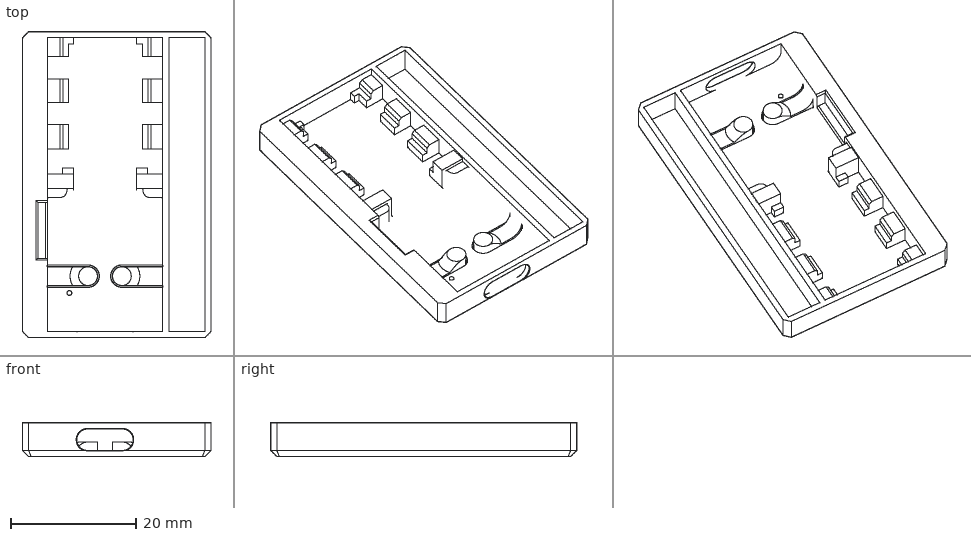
import cadquery as cq

LENGTH_X = 30.1
LENGTH_Y = 48.9
HEIGHT = 5.45
WALL = 1.0
FLOOR = 1.0
EDGE_CHAMFER = 1.0

LEFT_WALL = 3.95
MAIN_WIDTH = 18.45
MAIN_RIGHT = LEFT_WALL + MAIN_WIDTH
MAIN_CENTER = LEFT_WALL + MAIN_WIDTH / 2
POCKET_LENGTH = LENGTH_Y - 2 * WALL
SIDE_LEFT = MAIN_RIGHT + WALL
SIDE_WIDTH = LENGTH_X - WALL - SIDE_LEFT

SUPPORT_SPANS = [(44.95, LENGTH_Y - WALL), (37.55, 41.3), (30.1, 34.1)]
SUPPORT_TOP = 4.1
SUPPORT_DEPTH = 2.55
SUPPORT_CHAMFER = 0.5
SUPPORT_SHIFT = 0.1
SHELF_TOP = 2.55
SHELF_DEPTH = 3.4
TAB_DEPTH = 4.15
TAB_LENGTH = 1.0

POST_TOP = 5.05
POST_DEPTH = 4.15
POST_FRONT = 23.8
POST_BACK = 26.15
POST_LEDGE_WIDTH = 1.7
POST_LEDGE_LENGTH = 1.0
BUTTRESS_TOP = 4.4
BUTTRESS_DEPTH = 3.15
BUTTRESS_LENGTH = 1.4
BUTTRESS_RADIUS = 1.1
BAY_FILLET = 0.25

BUTTON_Y = 9.85
BUTTON_OFFSET = 2.7
BUTTON_RADIUS = 1.5
BUTTON_TOP = 2.35
BUTTON_BASE_RADIUS = 2.9
TONGUE_GAP = 0.25
COVE_RADIUS = 2.0
COVE_END = BUTTON_Y + BUTTON_RADIUS + TONGUE_GAP

PORT_WIDTH = 9.0
PORT_HEIGHT = 3.4
PORT_BOTTOM = FLOOR
PORT_FLARE = 0.1
NOTCH_LEFT = 2.15
NOTCH_FRONT = 12.35
NOTCH_BACK = 21.9
NOTCH_FLOOR = 2.45
NOTCH_CHAMFER = 0.3
PINHOLE_DIAMETER = 0.75
PINHOLE_POSITION = (7.5, 7.15)

SELECTION_SLACK = 0.05


def box(x0, x1, y0, y1, z0, z1):
    return cq.Workplane("XY").box(x1 - x0, y1 - y0, z1 - z0, centered=False).translate((x0, y0, z0))


def mirrored(shape, axis_x=MAIN_CENTER):
    """The shape together with its mirror image on the right side of the main compartment."""
    return shape.union(shape.mirror("YZ", (axis_x, 0, 0)))


def from_wall(depth_start, depth_end, y0, y1, top):
    """A block on the floor, measured inward from the left wall of the main compartment."""
    return box(LEFT_WALL + depth_start, LEFT_WALL + depth_end, y0, y1, FLOOR, top)


def edges_centred_in(x0, x1, y0, y1, z):
    """Selector for the edges whose middle lies inside a rectangle at height z."""
    slack = SELECTION_SLACK
    return cq.selectors.BoxSelector((x0 - slack, y0 - slack, z - slack), (x1 + slack, y1 + slack, z + slack))


def tray():
    body = box(0, LENGTH_X, 0, LENGTH_Y, 0, HEIGHT)
    body = body.edges("|Z").chamfer(EDGE_CHAMFER)
    body = body.faces("<Z").edges().chamfer(EDGE_CHAMFER)
    main = box(LEFT_WALL, MAIN_RIGHT, WALL, WALL + POCKET_LENGTH, FLOOR, HEIGHT)
    side = box(SIDE_LEFT, SIDE_LEFT + SIDE_WIDTH, WALL, WALL + POCKET_LENGTH, FLOOR, HEIGHT)
    return body.cut(main).cut(side)


def coves():
    """Concave quarter-round strips where the button end of the floor meets the long walls."""
    strip = from_wall(0, COVE_RADIUS, WALL, COVE_END, FLOOR + COVE_RADIUS)
    hollow = (
        cq.Workplane("XZ", origin=(LEFT_WALL + COVE_RADIUS, 0, FLOOR + COVE_RADIUS))
        .circle(COVE_RADIUS)
        .extrude(-LENGTH_Y)
    )
    return mirrored(strip.cut(hollow))


def support(y0, y1):
    block = from_wall(0, SUPPORT_DEPTH, y0, y1, SUPPORT_TOP)
    block = block.edges(">X and >Z").chamfer(SUPPORT_CHAMFER)
    return block.union(from_wall(0, SHELF_DEPTH, y0, y1, SHELF_TOP))


def supports():
    back = LENGTH_Y - WALL
    rows = support(*SUPPORT_SPANS[0])
    for y0, y1 in SUPPORT_SPANS[1:]:
        rows = rows.union(support(y0, y1))
    tab = from_wall(0, TAB_DEPTH, back - TAB_LENGTH, back, SHELF_TOP)
    return mirrored(rows, MAIN_CENTER + SUPPORT_SHIFT).union(mirrored(tab))


def posts():
    post = from_wall(0, POST_DEPTH, POST_FRONT, POST_BACK, POST_TOP)
    ledge = from_wall(
        POST_DEPTH - POST_LEDGE_WIDTH, POST_DEPTH, POST_BACK, POST_BACK + POST_LEDGE_LENGTH, SHELF_TOP
    )
    buttress = from_wall(0, BUTTRESS_DEPTH, POST_FRONT - BUTTRESS_LENGTH, POST_FRONT, BUTTRESS_TOP)
    buttress = buttress.edges("|Z and >X and <Y").fillet(BUTTRESS_RADIUS)
    return mirrored(post.union(ledge).union(buttress))


def round_bay(body):
    """Rounds the inner corners around the posts, along the floor and up the buttresses."""
    selector = edges_centred_in(LEFT_WALL, MAIN_RIGHT, BUTTON_Y, POST_FRONT, FLOOR)
    buttress_middle = (FLOOR + BUTTRESS_TOP) / 2
    buttress_front = POST_FRONT - BUTTRESS_LENGTH
    for depth, y in [(0, buttress_front), (BUTTRESS_DEPTH, POST_FRONT)]:
        for x in (LEFT_WALL + depth, MAIN_RIGHT - depth):
            selector = selector + cq.selectors.NearestToPointSelector((x, y, buttress_middle))
    return body.edges(selector).fillet(BAY_FILLET)


def tongue_outline(half_width, z0, z1):
    """A round-ended bar from the left wall to the left button."""
    button_x = MAIN_CENTER - BUTTON_OFFSET
    bar = box(LEFT_WALL, button_x, BUTTON_Y - half_width, BUTTON_Y + half_width, z0, z1)
    tip = cq.Workplane("XY", origin=(button_x, BUTTON_Y, z0)).circle(half_width).extrude(z1 - z0)
    return bar.union(tip)


def tongue_gaps():
    top = FLOOR + COVE_RADIUS
    return mirrored(
        tongue_outline(BUTTON_RADIUS + TONGUE_GAP, 0, top).cut(tongue_outline(BUTTON_RADIUS, 0, top))
    )


def buttons():
    """Round buttons, each flaring down onto its tongue."""
    flare = (
        cq.Workplane("XY", origin=(MAIN_CENTER - BUTTON_OFFSET, BUTTON_Y, FLOOR))
        .circle(BUTTON_BASE_RADIUS)
        .workplane(offset=BUTTON_TOP - FLOOR)
        .circle(BUTTON_RADIUS)
        .loft()
    )
    return mirrored(flare.intersect(tongue_outline(BUTTON_RADIUS, FLOOR, BUTTON_TOP)))


def port():
    """Round-ended opening through the front wall, flared at its outer rim."""
    rim = cq.Workplane("XZ", origin=(MAIN_CENTER, 0, PORT_BOTTOM + PORT_HEIGHT / 2))
    mouth_width = PORT_WIDTH + 2 * PORT_FLARE
    mouth_height = PORT_HEIGHT + 2 * PORT_FLARE
    flare = rim.slot2D(mouth_width, mouth_height).extrude(-PORT_FLARE, taper=45)
    passage = rim.slot2D(PORT_WIDTH, PORT_HEIGHT).extrude(-WALL)
    return passage.union(flare)


def cut_notch(body):
    """Recess in the top of the left wall, open to the main compartment, with a bevelled rim and sill."""
    left = NOTCH_LEFT + NOTCH_CHAMFER
    front = NOTCH_FRONT + NOTCH_CHAMFER
    back = NOTCH_BACK - NOTCH_CHAMFER
    body = body.cut(box(left, LEFT_WALL, front, back, NOTCH_FLOOR, HEIGHT))
    rim = edges_centred_in(left, LEFT_WALL, front, back, HEIGHT)
    sill = edges_centred_in(LEFT_WALL, LEFT_WALL, front, back, NOTCH_FLOOR)
    return body.edges(rim + sill).chamfer(NOTCH_CHAMFER)


def pinhole():
    return cq.Workplane("XY").center(*PINHOLE_POSITION).circle(PINHOLE_DIAMETER / 2).extrude(FLOOR)


result = round_bay(tray().union(posts()))
result = result.union(coves()).union(supports())
result = result.cut(tongue_gaps()).union(buttons())
result = cut_notch(result).cut(port()).cut(pinhole())